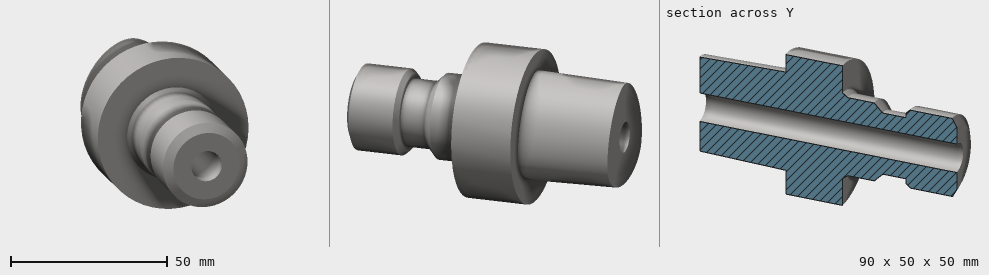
import cadquery as cq
import math

TAPER_LENGTH = 30.0
FLANGE_WIDTH = 20.0
FLARE_LENGTH = 1.8
PILOT_END = 61.0
NECK_START = 64.0
NECK_END = 72.0
TOTAL_LENGTH = 90.0
HEAD_CHAMFER_LENGTH = 1.6

FLANGE_DIAMETER = 50.0
FLARE_DIAMETER = 30.5
PILOT_DIAMETER = 28.0
NECK_DIAMETER = 22.0
HEAD_INNER_DIAMETER = 25.0
HEAD_END_DIAMETER = 22.0
BORE_DIAMETER = 10.0

POLYGON_BASE_WIDTH = 35.2
TAPER_RATIO = 1 / 20
LOBE_OFFSET = 1.12
LOBES = 3
SECTION_POINTS = 24

FLANGE_END = TAPER_LENGTH + FLANGE_WIDTH
POLYGON_TIP_WIDTH = POLYGON_BASE_WIDTH - TAPER_LENGTH * TAPER_RATIO


def lobed_point(width, turn):
    """Point of the constant-width curve, counterclockwise from the lobe on +Z.

    The tangent whose normal is turned by `turn` from that lobe lies at the distance `reach`
    from the centre and touches the curve `slide` along itself.
    """
    reach = width / 2 + LOBE_OFFSET * math.cos(LOBES * turn)
    slide = -LOBES * LOBE_OFFSET * math.sin(LOBES * turn)
    y = -reach * math.sin(turn) - slide * math.cos(turn)
    z = reach * math.cos(turn) - slide * math.sin(turn)
    return y, z


def lobed_section(x, width):
    """Closed wire of the lobed curve in the plane at x."""
    turns = [2 * math.pi * i / SECTION_POINTS for i in range(SECTION_POINTS)]
    points = [lobed_point(width, turn) for turn in turns]
    return cq.Workplane("YZ", origin=(x, 0, 0)).spline(points, periodic=True).wire().val()


def polygon_taper():
    tip = lobed_section(0, POLYGON_TIP_WIDTH)
    base = lobed_section(TAPER_LENGTH, POLYGON_BASE_WIDTH)
    return cq.Workplane(cq.Solid.makeLoft([tip, base], True))


def turned_body():
    """Flange, flared pilot, neck and chamfered head, revolved about X."""
    profile = [
        (TAPER_LENGTH, 0),
        (TAPER_LENGTH, FLANGE_DIAMETER / 2),
        (FLANGE_END, FLANGE_DIAMETER / 2),
        (FLANGE_END, FLARE_DIAMETER / 2),
        (FLANGE_END + FLARE_LENGTH, PILOT_DIAMETER / 2),
        (PILOT_END, PILOT_DIAMETER / 2),
        (NECK_START, NECK_DIAMETER / 2),
        (NECK_END, NECK_DIAMETER / 2),
        (NECK_END, HEAD_INNER_DIAMETER / 2),
        (NECK_END + HEAD_CHAMFER_LENGTH, PILOT_DIAMETER / 2),
        (TOTAL_LENGTH - HEAD_CHAMFER_LENGTH, PILOT_DIAMETER / 2),
        (TOTAL_LENGTH, HEAD_END_DIAMETER / 2),
        (TOTAL_LENGTH, 0),
    ]
    return cq.Workplane("XY").polyline(profile).close().revolve(360, (0, 0, 0), (1, 0, 0))


def through_bore():
    return cq.Workplane("YZ").circle(BORE_DIAMETER / 2).extrude(TOTAL_LENGTH)


result = turned_body().union(polygon_taper()).cut(through_bore())